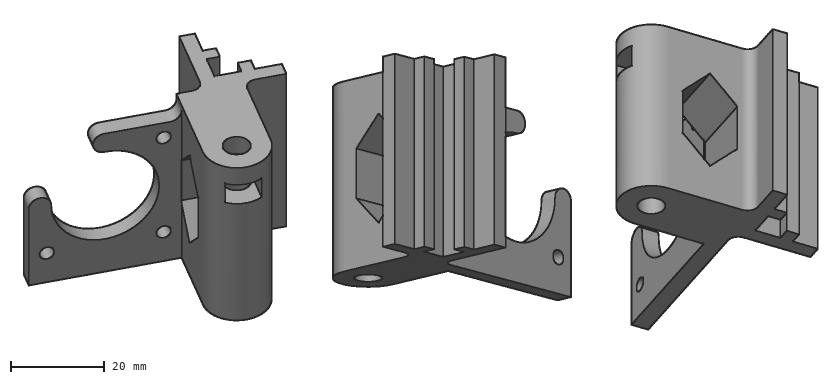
import cadquery as cq

height = 42.0
depth = 58.45
length = 46.5

leg = 15.0
wall = 3.5
key = 3.0
key_offset = 6.0
fillet = 2.5

arm_radius = 7.55
pin_diameter = 6.0
arm_x = leg + wall
pin_x = length - arm_radius
arm_front = -24.5
pin_y = arm_front + arm_radius

window_half_width = 6.55
window_half_height = 12.05
window_x = (arm_x + pin_x) / 2
mid_z = height / 2

slot_bottom = 32.15
slot_top = 37.35
slot_width = 8.0
slot_shift = -0.35

plate = 4.05
seat_radius = 12.0
finger_radius = 2.5
seat_y = -depth + 2 * finger_radius + seat_radius
seat_z = mid_z
finger_reach = 0.25
upper_finger_y = seat_y - finger_reach
plate_top = seat_z + seat_radius + 2 * finger_radius
screw_diameter = 3.2
screw_offset = 13.0


def make_bracket():
    """Extrude the keyed corner walls; the free ends are at X = 0 and Y = 0."""
    key_end = key_offset + key
    return (
        cq.Workplane("XY")
        .moveTo(leg, 0)
        .lineTo(arm_x, 0)
        .lineTo(arm_x, -leg - wall)
        .lineTo(0, -leg - wall)
        .lineTo(0, -leg)
        .lineTo(key_offset, -leg)
        .lineTo(key_offset, key - leg)
        .lineTo(key_end, key - leg)
        .lineTo(key_end, -leg)
        .lineTo(leg, -leg)
        .lineTo(leg, -key_end)
        .lineTo(leg - key, -key_end)
        .lineTo(leg - key, -key_offset)
        .lineTo(leg, -key_offset)
        .close()
        .extrude(height)
    )


def make_arm():
    arm_back = pin_y + arm_radius
    return (
        cq.Workplane("XY")
        .moveTo(arm_x, arm_front)
        .lineTo(pin_x, arm_front)
        .threePointArc((length, pin_y), (pin_x, arm_back))
        .lineTo(arm_x, arm_back)
        .close()
        .extrude(height)
    )


def make_corner_fillet(x, y, x_side, y_side):
    """Vertical fillet filling the quadrant of (x, y) given by the two signs."""
    block = (
        cq.Workplane("XY")
        .rect(x_side * fillet, y_side * fillet, centered=False)
        .extrude(height)
        .translate((x, y, 0))
    )
    round_cut = (
        cq.Workplane("XY")
        .center(x + x_side * fillet, y + y_side * fillet)
        .circle(fillet)
        .extrude(height)
    )
    return block.cut(round_cut)


def make_side_plate():
    """Plate profile in the YZ plane, including the step fillet and the open seat."""
    diagonal = 0.5 ** 0.5
    step_bend = fillet * (1 - diagonal)
    seat_bend = seat_radius * diagonal
    profile = (
        cq.Workplane("YZ", origin=(arm_x, 0, 0))
        .moveTo(arm_front, 0)
        .lineTo(-depth, 0)
        .lineTo(-depth, seat_z)
        .threePointArc(
            (-depth + finger_radius, seat_z + finger_radius),
            (seat_y - seat_radius, seat_z),
        )
        .threePointArc((seat_y + seat_bend, seat_z - seat_bend), (seat_y, seat_z + seat_radius))
        .lineTo(upper_finger_y, seat_z + seat_radius)
        .threePointArc(
            (upper_finger_y - finger_radius, plate_top - finger_radius),
            (upper_finger_y, plate_top),
        )
        .lineTo(arm_front - fillet, plate_top)
        .threePointArc(
            (arm_front - step_bend, plate_top + step_bend),
            (arm_front, plate_top + fillet),
        )
        .close()
        .extrude(plate)
    )
    screw_points = [
        (seat_y + screw_offset, seat_z + screw_offset),
        (seat_y + screw_offset, seat_z - screw_offset),
        (seat_y - screw_offset, seat_z - screw_offset),
    ]
    screws = (
        cq.Workplane("YZ", origin=(arm_x, 0, 0))
        .pushPoints(screw_points)
        .circle(screw_diameter / 2)
        .extrude(plate)
    )
    return profile.cut(screws)


def make_window():
    side_half_height = window_half_height - window_half_width
    return (
        cq.Workplane("XZ", origin=(window_x, arm_front, mid_z))
        .moveTo(0, window_half_height)
        .lineTo(window_half_width, side_half_height)
        .lineTo(window_half_width, -side_half_height)
        .lineTo(0, -window_half_height)
        .lineTo(-window_half_width, -side_half_height)
        .lineTo(-window_half_width, side_half_height)
        .close()
        .extrude(-2 * arm_radius)
    )


def make_pin_hole():
    return cq.Workplane("XY").center(pin_x, pin_y).circle(pin_diameter / 2).extrude(height)


def make_nut_slot():
    """Pocket from the rounded end to half its width beyond the pin axis."""
    slot_start = pin_x - slot_width / 2
    slot_depth = length - slot_start
    return (
        cq.Workplane("XY", origin=(slot_start, pin_y + slot_shift, slot_bottom))
        .center(slot_depth / 2, 0)
        .rect(slot_depth, slot_width)
        .extrude(slot_top - slot_bottom)
    )


arm = make_arm().cut(make_window()).cut(make_pin_hole()).cut(make_nut_slot())

result = (
    make_bracket()
    .union(arm)
    .union(make_corner_fillet(arm_x, pin_y + arm_radius, 1, 1))
    .union(make_corner_fillet(arm_x, -leg - wall, -1, -1))
    .union(make_side_plate())
)